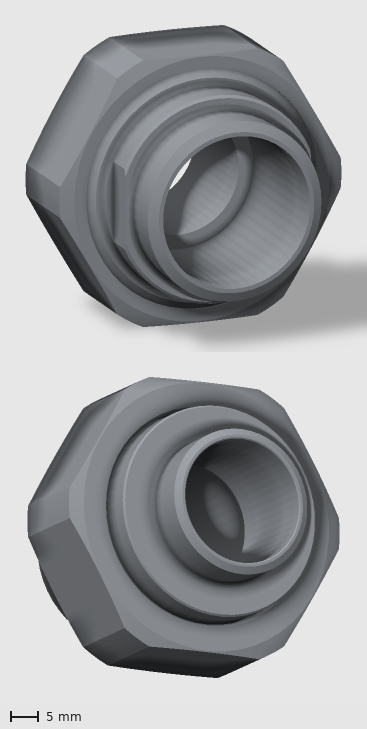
import cadquery as cq
import math


total_length = 50.0

nut_across_flats = 50.0
nut_corner_radius = 27.35
nut_start = 14.55
nut_end = 32.85
nut_chamfer_length = 0.8
nut_face_radius = 24.75
nut_lip_end = 18.6
nut_lip_radius = 39.5 / 2
nut_lip_chamfer = 0.55
nut_thread_radius = 44.85 / 2

tail_bore_radius = 22.9 / 2
tail_tube_radius = 26.9 / 2
tail_bevel_length = 0.75
tail_bevel_depth = 1.25
tail_bore_chamfer = 0.2
tail_fillet = 0.9
flange_start = 9.1
flange_radius = 39.0 / 2
flange_chamfer = 0.35
collar_radius = 43.0 / 2

seat_position = 21.85
end_bore_radius = 28.5 / 2
thread_end = 33.9
thread_chamfer = 1.4
body_radius = 39.0 / 2
body_end = 40.9
body_chamfer = 0.5
body_fillet = 0.8
flat_half_width = 18.0
flat_start = 34.9
end_tube_radius = 33.7 / 2
end_tube_fillet = 0.8
end_bevel_length = 1.05
end_bevel_depth = 1.8


def revolve_about_x(profile):
    """Revolve a closed (x, radius) profile around the X axis."""
    return profile.close().revolve(360, (0, 0, 0), (1, 0, 0))


def tube(start, end, radius):
    """Solid cylinder along X."""
    return cq.Workplane("YZ", origin=(start, 0, 0)).circle(radius).extrude(end - start)


def fillet_middle(fillet_radius):
    """Offset of a quarter fillet's middle point from its sharp inner corner."""
    return fillet_radius * (1 - math.sqrt(0.5))


def make_nut():
    across_corners = nut_across_flats / math.cos(math.pi / 6)
    hexagon = (
        cq.Workplane("YZ", origin=(nut_start, 0, 0))
        .polygon(6, across_corners)
        .extrude(nut_end - nut_start)
    )
    envelope = revolve_about_x(
        cq.Workplane("XY")
        .moveTo(nut_start, 0)
        .lineTo(nut_start, nut_face_radius)
        .lineTo(nut_start + nut_chamfer_length, nut_corner_radius)
        .lineTo(nut_end - nut_chamfer_length, nut_corner_radius)
        .lineTo(nut_end, nut_face_radius)
        .lineTo(nut_end, 0)
    )
    bore = revolve_about_x(
        cq.Workplane("XY")
        .moveTo(nut_start, 0)
        .lineTo(nut_start, nut_lip_radius + nut_lip_chamfer)
        .lineTo(nut_start + nut_lip_chamfer, nut_lip_radius)
        .lineTo(nut_lip_end, nut_lip_radius)
        .lineTo(nut_lip_end, nut_thread_radius)
        .lineTo(nut_end, nut_thread_radius)
        .lineTo(nut_end, 0)
    )
    return hexagon.intersect(envelope).cut(bore)


def make_tailpiece():
    middle = fillet_middle(tail_fillet)
    return revolve_about_x(
        cq.Workplane("XY")
        .moveTo(tail_bore_chamfer, tail_bore_radius)
        .lineTo(0, tail_bore_radius + tail_bore_chamfer)
        .lineTo(0, tail_tube_radius - tail_bevel_depth)
        .lineTo(tail_bevel_length, tail_tube_radius)
        .lineTo(flange_start - tail_fillet, tail_tube_radius)
        .threePointArc(
            (flange_start - middle, tail_tube_radius + middle),
            (flange_start, tail_tube_radius + tail_fillet),
        )
        .lineTo(flange_start, flange_radius - flange_chamfer)
        .lineTo(flange_start + flange_chamfer, flange_radius)
        .lineTo(nut_lip_end, flange_radius)
        .lineTo(nut_lip_end, collar_radius)
        .lineTo(seat_position, collar_radius)
        .lineTo(seat_position, tail_bore_radius)
    )


def make_end_piece():
    body_middle = fillet_middle(body_fillet)
    tube_middle = fillet_middle(end_tube_fillet)
    turned = revolve_about_x(
        cq.Workplane("XY")
        .moveTo(seat_position, end_bore_radius)
        .lineTo(seat_position, nut_thread_radius)
        .lineTo(thread_end - thread_chamfer, nut_thread_radius)
        .lineTo(thread_end, nut_thread_radius - thread_chamfer)
        .lineTo(thread_end, body_radius + body_fillet)
        .threePointArc(
            (thread_end + body_middle, body_radius + body_middle),
            (thread_end + body_fillet, body_radius),
        )
        .lineTo(body_end - body_chamfer, body_radius)
        .lineTo(body_end, body_radius - body_chamfer)
        .lineTo(body_end, end_tube_radius + end_tube_fillet)
        .threePointArc(
            (body_end + tube_middle, end_tube_radius + tube_middle),
            (body_end + end_tube_fillet, end_tube_radius),
        )
        .lineTo(total_length - end_bevel_length, end_tube_radius)
        .lineTo(total_length, end_tube_radius - end_bevel_depth)
        .lineTo(total_length, end_bore_radius)
    )
    flat_length = body_end - flat_start
    between_flats = cq.Workplane("XY").box(
        flat_length, 2 * flat_half_width, 2 * body_radius
    ).translate((flat_start + flat_length / 2, 0, 0))
    flat_waste = tube(flat_start, body_end, body_radius).cut(between_flats)
    return turned.cut(flat_waste)


nut = make_nut()
tailpiece = make_tailpiece()
end_piece = make_end_piece()

result = cq.Compound.makeCompound([nut.val(), tailpiece.val(), end_piece.val()])